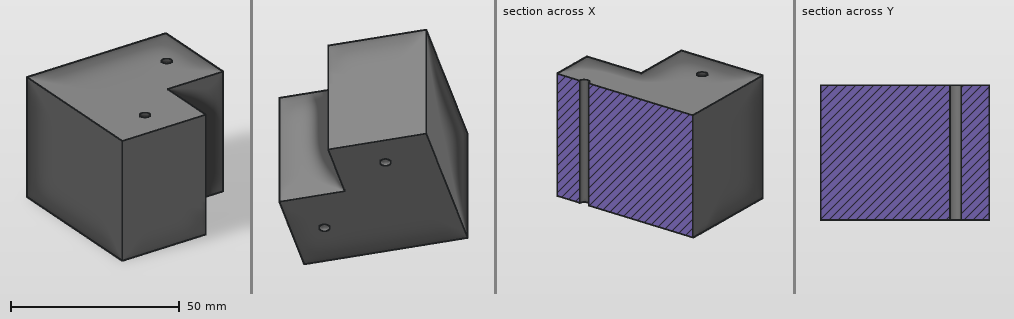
import cadquery as cq

side_length = 50.0
arm_width = 30.0
height = 40.0
hole_diameter = 3.2
hole_end_distance = 10.0

hole_along = side_length - hole_end_distance
hole_across = arm_width / 2
hole_centers = [(hole_across, hole_along), (hole_along, hole_across)]

corner_block = (
    cq.Workplane("XY")
    .polyline([
        (0, 0),
        (side_length, 0),
        (side_length, arm_width),
        (arm_width, arm_width),
        (arm_width, side_length),
        (0, side_length),
    ])
    .close()
    .extrude(height)
)

screw_holes = (
    cq.Workplane("XY")
    .pushPoints(hole_centers)
    .circle(hole_diameter / 2)
    .extrude(height)
)

result = corner_block.cut(screw_holes)